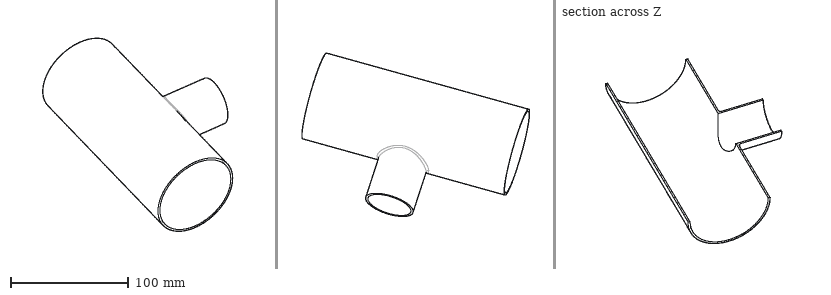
import cadquery as cq

run_length = 180.0
run_diameter = 76.1
run_bore = 72.2

branch_diameter = 42.5
branch_bore = 38.3
overall_depth = 116.1
branch_reach = overall_depth - run_diameter / 2

weld_radius = 1.8


def run_cylinder(diameter):
    """Cylinder along the main pipe, centred on the origin."""
    return cq.Workplane("YZ").circle(diameter / 2).extrude(run_length / 2, both=True)


def branch_cylinder(diameter):
    """Cylinder from the main pipe's axis to the open end of the branch."""
    return cq.Workplane("XZ").circle(diameter / 2).extrude(-branch_reach)


outside = run_cylinder(run_diameter).union(branch_cylinder(branch_diameter))

junction_box = cq.selectors.BoxSelector(
    (-branch_diameter, 0, -branch_diameter),
    (branch_diameter, run_diameter / 2 + weld_radius, branch_diameter),
    boundingbox=True,
)
outside = outside.edges(junction_box).fillet(weld_radius)

result = outside.cut(run_cylinder(run_bore)).cut(branch_cylinder(branch_bore))